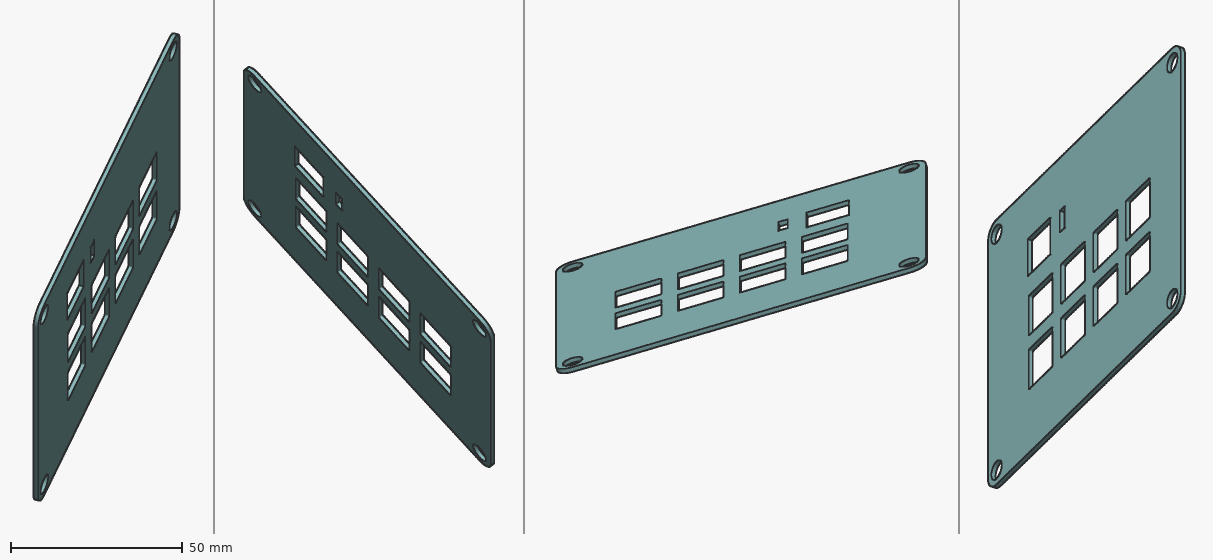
import cadquery as cq

thickness = 1.5
width = 113.1
height = 93.4
corner_radius = 5.1

hole_diameter = 6.0
hole_spacing_y = width - 2 * corner_radius
hole_spacing_z = height - 2 * corner_radius

key_columns = 4
key_rows = 2
key_size = 14.0
key_pitch = 19.0
key_corner_radius = 0.5
key_grid_y = 2.8
key_grid_z = -7.8

window_size = 13.0
window_y = -26.6
window_z = 22.5

slot_width = 2.8
slot_height = 7.6
slot_y = -12.9
slot_z = 24.2


def block(size_y, size_z, y=0, z=0):
    """Rectangular block through the plate thickness, centred at (y, z)."""
    return cq.Workplane("XY").box(thickness, size_y, size_z).translate((0, y, z))


def rounded_block(size_y, size_z, radius, y=0, z=0):
    """Block whose four edges through the thickness are rounded."""
    return block(size_y, size_z, y, z).edges("|X").fillet(radius)


def mounting_holes():
    return (
        cq.Workplane("YZ", origin=(-thickness / 2, 0, 0))
        .rarray(hole_spacing_y, hole_spacing_z, 2, 2)
        .circle(hole_diameter / 2)
        .extrude(thickness)
    )


plate = rounded_block(width, height, corner_radius)
plate = plate.cut(mounting_holes())

for column in range(key_columns):
    for row in range(key_rows):
        key_y = key_grid_y + (column - (key_columns - 1) / 2) * key_pitch
        key_z = key_grid_z + (row - (key_rows - 1) / 2) * key_pitch
        plate = plate.cut(rounded_block(key_size, key_size, key_corner_radius, key_y, key_z))

plate = plate.cut(block(window_size, window_size, window_y, window_z))
plate = plate.cut(block(slot_width, slot_height, slot_y, slot_z))

result = plate